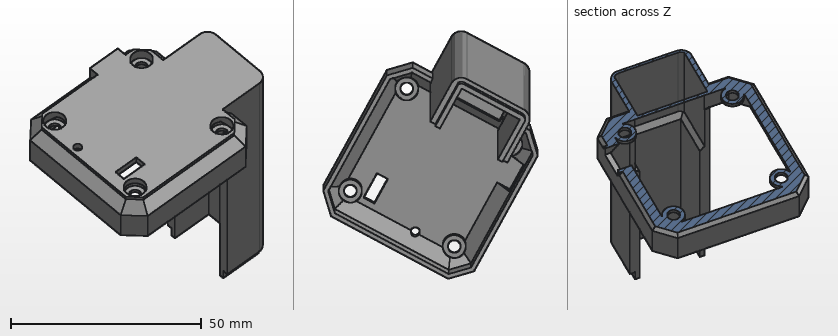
import cadquery as cq
import math


cover_side = 45.0
cover_height = 12.2
corner_cut = 5.0
bevel = 3.0
rim_height = 1.0
cover_wall = 1.2
slope_wall = 2.2
roof = 2.0

screw_spacing = 31.0
screw_dia = 3.3
head_dia = 6.0
head_depth = 3.0
boss_dia = 6.1
boss_seat = 1.0

tab_width = 10.0
tab_y = 8.5
window_width = 8.0
window_height = 3.5
window_top = 2.0
window_y = 8.6

slot_width = 3.2
slot_length = 7.4
slot_x = 9.8
slot_y = -12.0
pin_hole_dia = 2.3
pin_hole_x = -4.8
pin_hole_y = -17.2

post_width = 23.0
post_overhang = 13.1
post_overlap = 1.4
post_length = 68.5
post_radius = 3.0
channel_side_wall = 2.85
channel_back_wall = 2.4
socket_side_wall = 1.5
socket_back_wall = 0.9
socket_depth = 26.9

tongue_length = 2.9
tongue_side_step = 1.5
tongue_back_step = 1.1

half_side = cover_side / 2
rim_y = half_side - bevel
bevel_depth = rim_height + bevel
cavity_bevel = bevel_depth + slope_wall * math.sqrt(2) - cover_wall - roof
post_front = half_side - post_overlap
post_back = half_side + post_overhang
post_bottom = post_length + tongue_length


def block(x_min, x_max, y_min, y_max, z_min, z_max):
    """Box given by its limits along each axis."""
    size = (x_max - x_min, y_max - y_min, z_max - z_min)
    return cq.Workplane("XY").box(*size, centered=False).translate((x_min, y_min, z_min))


def cylinder(x, y, diameter, z_min, z_max):
    """Upright cylinder between two heights."""
    return cq.Workplane("XY", origin=(x, y, z_min)).circle(diameter / 2).extrude(z_max - z_min)


def octagon(inset, z):
    """Cover outline moved inwards by inset, drawn at height z."""
    side = cover_side - 2 * inset
    cut = corner_cut - inset * (2 - math.sqrt(2))
    far = side / 2
    near = far - cut
    points = [
        (near, far), (far, near), (far, -near), (near, -far),
        (-near, -far), (-far, -near), (-far, near), (-near, far),
    ]
    return cq.Workplane("XY", origin=(0, 0, z)).polyline(points).close()


def bevelled_body(inset, slope, z_bottom, z_top):
    """Octagonal body whose upper end leans in at 45 degrees over the height of slope."""
    z_slope = z_top - slope
    upright = octagon(inset, z_bottom).extrude(z_slope - z_bottom)
    lower_wire = octagon(inset, z_slope).val()
    upper_wire = octagon(inset + slope, z_top).val()
    return upright.union(cq.Workplane(cq.Solid.makeLoft([lower_wire, upper_wire], True)))


def make_cover():
    """Solid cover with its rim, the tab and the bridge that joins it to the post."""
    rim = octagon(bevel, -rim_height).extrude(rim_height)
    tab = block(
        -half_side, -rim_y,
        tab_y - tab_width / 2, tab_y + tab_width / 2,
        -bevel_depth, 0,
    )
    bridge = block(-post_width / 2, post_width / 2, rim_y, half_side, -bevel_depth, 0)
    body = bevelled_body(0, bevel, -cover_height, -rim_height)
    return body.union(rim).union(tab).union(bridge)


def rounded_core(side_step, back_step, z_min, z_max):
    """Post shape stepped in at its sides and back, its back corners concentric with the post's own."""
    half_width = post_width / 2
    rounded = block(
        -half_width + back_step, half_width - back_step,
        rim_y, post_back - back_step,
        z_min, z_max,
    )
    rounded = rounded.edges("|Z and >Y").fillet(post_radius - back_step)
    side_limit = block(
        -half_width + side_step, half_width - side_step,
        rim_y, post_back,
        z_min, z_max,
    )
    return rounded.intersect(side_limit)


def make_post():
    """Solid post with rounded back corners and the stepped tongue at its end."""
    half_width = post_width / 2
    shaft = block(-half_width, half_width, post_front, post_back, -post_length, 0)
    shaft = shaft.edges("|Z and >Y").fillet(post_radius)
    tongue = rounded_core(tongue_side_step, tongue_back_step, -post_bottom, -post_length)
    tongue = tongue.intersect(
        block(-half_width, half_width, post_front, post_back, -post_bottom, -post_length)
    )
    return shaft.union(tongue)


def make_channel():
    """Hollow of the post: a wide socket above, narrowing over a 45 degree ledge to the channel."""
    channel_half = post_width / 2 - channel_side_wall
    channel_back = post_back - channel_back_wall
    ledge = channel_back_wall - socket_back_wall
    ledge_bottom = -socket_depth - ledge
    channel = block(-channel_half, channel_half, rim_y, channel_back, -post_bottom, -roof)
    funnel = block(
        -channel_half - ledge, channel_half + ledge,
        rim_y - ledge, channel_back + ledge,
        ledge_bottom, -roof,
    )
    funnel = funnel.faces("<Z").chamfer(ledge)
    socket = rounded_core(socket_side_wall, socket_back_wall, ledge_bottom, -roof)
    return channel.union(funnel.intersect(socket))


def add_bosses(body):
    """Bosses below the roof, each bored and counterbored for a screw."""
    half_spacing = screw_spacing / 2
    boss_bottom = -head_depth - boss_seat
    places = [(x, y) for x in (-half_spacing, half_spacing) for y in (-half_spacing, half_spacing)]
    for x, y in places:
        body = body.union(cylinder(x, y, boss_dia, boss_bottom, -roof))
        body = body.cut(cylinder(x, y, head_dia, -head_depth, 0))
        body = body.cut(cylinder(x, y, screw_dia, -cover_height, 0))
    return body


def cut_openings(body):
    """Cable window through the tab wall, and the slot and pin hole through the roof."""
    window = block(
        -half_side, -half_side + cover_wall + cavity_bevel,
        window_y - window_width / 2, window_y + window_width / 2,
        -window_top - window_height, -window_top,
    )
    slot = block(
        slot_x - slot_width / 2, slot_x + slot_width / 2,
        slot_y - slot_length / 2, slot_y + slot_length / 2,
        -roof, 0,
    )
    pin_hole = cylinder(pin_hole_x, pin_hole_y, pin_hole_dia, -cover_height, 0)
    return body.cut(window).cut(slot).cut(pin_hole)


cavity = bevelled_body(cover_wall, cavity_bevel, -cover_height, -roof)
shell = make_cover().union(make_post()).cut(cavity).cut(make_channel())
result = cut_openings(add_bosses(shell))